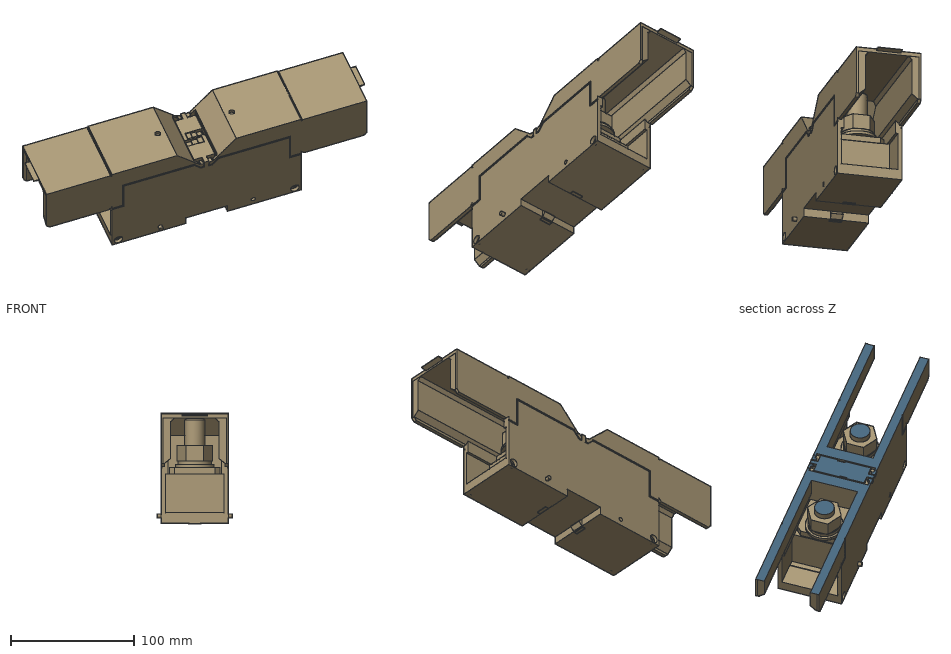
import cadquery as cq

WIDTH = 54.6
HALF_WIDTH = WIDTH / 2
WIDTH_OVER_PINS = 61.1
LENGTH_OVER_TABS = 287.04
HEIGHT_OVER_CLAWS = 90.06
HEIGHT = 89.5
HALF_BODY = 82.0
HALF_SHOULDER = 72.8
SHOULDER_Z = 45.4
DECK_Z = 70.9

COVER_END = 138.8
COVER_BOTTOM = 46.0
COVER_CHAMFER = 2.6
END_TOP_DROP = 0.9
END_TOP_Z = HEIGHT - END_TOP_DROP
SLOPE_TOP_Y = 25.6
SLOPE_END_Y = SLOPE_TOP_Y - (HEIGHT - DECK_Z)
JOINT_WIDTH = 1.0
JOINT_DEPTH = 2.0
SEAM_WIDTH = 0.9
SEAM_DEPTH = 0.6
LED_Y = 32.1
LED_DIAMETER = 4.5
LED_DEPTH = 3.0

TAB_HALF_WIDTH = 10.2
TAB_TIP_Y = LENGTH_OVER_TABS / 2
TAB_DROP = 0.2
TAB_TIP_THICKNESS = 0.4
TAB_ROOT_THICKNESS = 1.4

TUNNEL_HALF = 19.5
TUNNEL_TOP = 85.2
TUNNEL_CHAMFER = 2.8
LEG_CHAMFER_TOP = 52.7
LEG_CHAMFER_BOTTOM = 48.6
LEG_FOOT_INNER = 24.5
END_RECESS_HALF = 25.6
END_RECESS_DEPTH = 0.15
TUNNEL_BACK_Y = 20.0
ROOF_SLOPE_Y = 34.0

POCKET_HALF = 23.8
POCKET_FLOOR = 8.6
POCKET_BACK_Y = 57.0
POCKET_TOP = 40.0
TROUGH_Y = 62.0
TROUGH_DEPTH = 0.6
NECK_HALF = 21.8

STUD_Y = 45.0
BAR_HALF_WIDTH = 20.6
BAR_CORNER = 4.0
BAR_SETBACK = 1.0
BAR_TOP = 45.2
WASHER_DIAMETER = 31.0
WASHER_TOP = 47.6
COLLAR_DIAMETER = 27.0
COLLAR_TOP = 50.6
NUT_ACROSS_CORNERS = 28.8
NUT_TOP = 63.1
STUD_DIAMETER = 16.4
STUD_TOP = 84.8
STUD_CHAMFER = 1.2

OPENING_HALF_X = 25.0
OPENING_HALF_Y = 10.0
PLATE_HALF_Y = 9.0
NECK_GAP_Y = 1.9
ARM_TIP_Y = 2.4
ARM_TOP_Z = 70.0
ARM_TIP_Z = 69.0
ARM_EDGE_Y = 5.2
ARM_BOTTOM_Z = 64.8
ARM_TIP_CHAMFER = 1.0
GAP_DEPTH = 5.0
GAP_OUTER_Y = 9.6
ARM_INNER_X = 23.4
STEP_INNER_X = 0.6
STEP_OUTER_X = 6.7
STEP_EDGES = [-5.7, -1.3, 3.5, 8.0]
STEP_RISE = 1.0

RAIL_HALF = 18.0
RAIL_DEPTH = 7.0
CLAW_HALF_WIDTH = 5.0
CLAW_TIP_Y = 14.7
CLAW_TIP_Z = 3.9
CLAW_TOE_Y = 18.9
CLAW_HEEL_Y = 21.7
CLAW_BOTTOM = HEIGHT - HEIGHT_OVER_CLAWS

PIN_Y = 40.4
PIN_Z = 5.9
PIN_DIAMETER = 3.5
PIN_TIP_X = WIDTH_OVER_PINS / 2
SOCKET_DEPTH = 4.0
MOUNT_Y = 76.5
MOUNT_Z = 4.4
MOUNT_DIAMETER = 4.0
MOUNT_BORE_DIAMETER = 7.2
MOUNT_BORE_DEPTH = 3.0

ENDS = (-1, 1)
SIDES = (-1, 1)


def box(x0, x1, y0, y1, z0, z1):
    """Axis-aligned block between the given limits, in either order."""
    size = (abs(x1 - x0), abs(y1 - y0), abs(z1 - z0))
    return cq.Workplane("XY").box(*size).translate(((x0 + x1) / 2, (y0 + y1) / 2, (z0 + z1) / 2))


def prism_x(points, x0, x1):
    """Outline in Y and Z, extruded along X from x0 to x1."""
    return cq.Workplane("YZ", origin=(x0, 0, 0)).polyline(points).close().extrude(x1 - x0)


def prism_y(points, y0, y1):
    """Outline in X and Z, extruded along Y from y0 to y1."""
    return cq.Workplane("XZ", origin=(0, y0, 0)).polyline(points).close().extrude(y0 - y1)


def rod_x(diameter, x0, x1, y, z):
    """Cylinder along X."""
    return cq.Workplane("YZ", origin=(x0, y, z)).circle(diameter / 2).extrude(x1 - x0)


def rod_z(diameter, y, z0, z1):
    """Cylinder along Z on the mid-plane X = 0."""
    return cq.Workplane("XY", origin=(0, y, z0)).circle(diameter / 2).extrude(z1 - z0)


def mirrored(points):
    """Half outline running from bottom to top at +X, closed with its mirror image."""
    return points + [(-x, z) for x, z in reversed(points)]


def make_housing():
    slot = box(-HALF_WIDTH, HALF_WIDTH, -RAIL_HALF, RAIL_HALF, 0, RAIL_DEPTH)
    low = box(-HALF_WIDTH, HALF_WIDTH, -HALF_BODY, HALF_BODY, 0, LEG_CHAMFER_BOTTOM)
    deck = box(-HALF_WIDTH, HALF_WIDTH, -HALF_SHOULDER, HALF_SHOULDER, 0, DECK_Z)
    return low.union(deck).cut(slot)


def make_cover(end):
    """Cover over one terminal, with sloped inner end and bevelled lower corners."""
    outline = [
        (HALF_BODY + JOINT_WIDTH, END_TOP_Z),
        (COVER_END, END_TOP_Z),
        (COVER_END, COVER_BOTTOM + COVER_CHAMFER),
        (COVER_END - COVER_CHAMFER, COVER_BOTTOM),
        (HALF_BODY + COVER_CHAMFER, COVER_BOTTOM),
        (HALF_BODY, COVER_BOTTOM + COVER_CHAMFER),
        (HALF_SHOULDER, COVER_BOTTOM),
        (HALF_SHOULDER, DECK_Z),
        (SLOPE_END_Y, DECK_Z),
        (SLOPE_TOP_Y, HEIGHT),
        (HALF_BODY, HEIGHT),
        (HALF_BODY, HEIGHT - JOINT_DEPTH),
        (HALF_BODY + JOINT_WIDTH, HEIGHT - JOINT_DEPTH),
    ]
    tab_z = END_TOP_Z - TAB_DROP
    tab_root_y = COVER_END - END_RECESS_DEPTH
    tab = [
        (tab_root_y, tab_z),
        (TAB_TIP_Y, tab_z),
        (TAB_TIP_Y, tab_z - TAB_TIP_THICKNESS),
        (tab_root_y, tab_z - TAB_ROOT_THICKNESS),
    ]
    cover = prism_x([(end * y, z) for y, z in outline], -HALF_WIDTH, HALF_WIDTH)
    return cover.union(prism_x([(end * y, z) for y, z in tab], -TAB_HALF_WIDTH, TAB_HALF_WIDTH))


def tunnel_cut(end):
    """Space under one cover, its sloping roof, the shallow end recess and the pocket in the housing."""
    roof = [
        (TUNNEL_HALF, LEG_CHAMFER_TOP),
        (TUNNEL_HALF, TUNNEL_TOP - TUNNEL_CHAMFER),
        (TUNNEL_HALF - TUNNEL_CHAMFER, TUNNEL_TOP),
    ]
    leg = [(LEG_FOOT_INNER, COVER_BOTTOM), (LEG_FOOT_INNER, LEG_CHAMFER_BOTTOM)]
    neck_slope = (LEG_FOOT_INNER - TUNNEL_HALF) / (LEG_CHAMFER_TOP - LEG_CHAMFER_BOTTOM)
    neck_z = LEG_CHAMFER_TOP - (NECK_HALF - TUNNEL_HALF) / neck_slope
    neck = [(NECK_HALF, POCKET_TOP), (NECK_HALF, neck_z)]
    outer = prism_y(mirrored(leg + roof), end * HALF_BODY, end * COVER_END)
    inner = prism_y(mirrored(neck + roof), end * TUNNEL_BACK_Y, end * HALF_BODY)
    roof_end_y = ROOF_SLOPE_Y - (TUNNEL_TOP - DECK_Z)
    filled_corner = [
        (end * ROOF_SLOPE_Y, TUNNEL_TOP),
        (end * roof_end_y, DECK_Z),
        (end * roof_end_y, HEIGHT),
        (end * ROOF_SLOPE_Y, HEIGHT),
    ]
    inner = inner.cut(prism_x(filled_corner, -HALF_WIDTH, HALF_WIDTH))
    recess_back = end * (COVER_END - END_RECESS_DEPTH)
    recess = box(-END_RECESS_HALF, END_RECESS_HALF, recess_back, end * COVER_END, COVER_BOTTOM, TUNNEL_TOP)
    pocket = box(-POCKET_HALF, POCKET_HALF, end * POCKET_BACK_Y, end * HALF_BODY, POCKET_FLOOR, POCKET_TOP)
    trough_z = POCKET_FLOOR - TROUGH_DEPTH
    trough = box(-POCKET_HALF, POCKET_HALF, end * POCKET_BACK_Y, end * TROUGH_Y, trough_z, POCKET_FLOOR)
    return outer.union(inner).union(recess).union(pocket).union(trough)


def make_terminal(end):
    """Connection bar with washers, hexagon nut and chamfered stud."""
    bar_end = end * (POCKET_BACK_Y - BAR_SETBACK)
    bar = box(-BAR_HALF_WIDTH, BAR_HALF_WIDTH, end * TUNNEL_BACK_Y, bar_end, POCKET_TOP, BAR_TOP)
    bar = bar.edges("|Z and " + (">Y" if end > 0 else "<Y")).chamfer(BAR_CORNER)
    washer = rod_z(WASHER_DIAMETER, end * STUD_Y, BAR_TOP, WASHER_TOP)
    collar = rod_z(COLLAR_DIAMETER, end * STUD_Y, WASHER_TOP, COLLAR_TOP)
    nut_plane = cq.Workplane("XY", origin=(0, end * STUD_Y, COLLAR_TOP))
    nut = nut_plane.polygon(6, NUT_ACROSS_CORNERS).extrude(NUT_TOP - COLLAR_TOP)
    stud = rod_z(STUD_DIAMETER, end * STUD_Y, NUT_TOP, STUD_TOP).faces(">Z").chamfer(STUD_CHAMFER)
    return bar.union(washer).union(collar).union(nut).union(stud)


def seam_cut(end, side):
    """Shallow groove in a side wall, following the joint between cover and housing."""
    outer_x = side * HALF_WIDTH
    inner_x = side * (HALF_WIDTH - SEAM_DEPTH)
    low_y = end * HALF_SHOULDER
    high_y = end * (HALF_SHOULDER - SEAM_WIDTH)
    top_z = DECK_Z + SEAM_WIDTH / 2
    foot_z = SHOULDER_Z - SEAM_WIDTH / 2
    seam = box(inner_x, outer_x, end * OPENING_HALF_Y, low_y, top_z - SEAM_WIDTH, top_z)
    seam = seam.union(box(inner_x, outer_x, high_y, low_y, foot_z, top_z))
    foot = box(inner_x, outer_x, high_y, end * HALF_BODY, foot_z, foot_z + SEAM_WIDTH)
    return seam.union(foot)


def deck_cut(end):
    """Opening at the foot of one cover slope, with the gap around the deck plate."""
    opening = box(-OPENING_HALF_X, OPENING_HALF_X, 0, end * OPENING_HALF_Y, DECK_Z, HEIGHT)
    gap_z = DECK_Z - GAP_DEPTH
    gap = box(-OPENING_HALF_X, OPENING_HALF_X, end * PLATE_HALF_Y, end * GAP_OUTER_Y, gap_z, DECK_Z)
    cut = opening.union(gap)
    for side in SIDES:
        plate_x = side * NECK_HALF
        wide_gap = box(plate_x, side * OPENING_HALF_X, end * ARM_EDGE_Y, end * GAP_OUTER_Y, gap_z, DECK_Z)
        slit = box(plate_x, side * ARM_INNER_X, end * NECK_GAP_Y, end * ARM_EDGE_Y, gap_z, DECK_Z)
        cut = cut.union(wide_gap).union(slit)
        above_arm = [
            (end * NECK_GAP_Y, ARM_BOTTOM_Z),
            (end * ARM_TIP_Y, ARM_BOTTOM_Z),
            (end * ARM_TIP_Y, ARM_TIP_Z),
            (end * ARM_EDGE_Y, ARM_TOP_Z),
            (end * (SLOPE_END_Y - DECK_Z + ARM_TOP_Z), ARM_TOP_Z),
            (end * SLOPE_END_Y, DECK_Z),
            (end * NECK_GAP_Y, DECK_Z),
        ]
        cut = cut.union(prism_x(above_arm, side * NECK_HALF, side * HALF_WIDTH))
    return cut


def arm_outline_cut(end, side):
    """Shallow groove in a side wall along the lower edge of a cover arm."""
    start_y = OPENING_HALF_Y + ARM_TIP_CHAMFER
    drop = DECK_Z - ARM_BOTTOM_Z
    width = SEAM_WIDTH / 2
    points = [
        (start_y, DECK_Z),
        (start_y - drop, ARM_BOTTOM_Z),
        (ARM_TIP_Y + ARM_TIP_CHAMFER, ARM_BOTTOM_Z),
        (ARM_TIP_Y, ARM_BOTTOM_Z + ARM_TIP_CHAMFER),
        (ARM_TIP_Y, ARM_BOTTOM_Z + ARM_TIP_CHAMFER + width),
        (ARM_TIP_Y + ARM_TIP_CHAMFER, ARM_BOTTOM_Z + width),
        (start_y - drop, ARM_BOTTOM_Z + width),
        (start_y, DECK_Z + width),
    ]
    outline = [(end * y, z) for y, z in points]
    return prism_x(outline, side * (HALF_WIDTH - SEAM_DEPTH), side * HALF_WIDTH)


def step_cut(end):
    """Stepped pocket in the deck plate, deeper towards the edge of the plate."""
    steps = cq.Workplane("XY")
    inner_x = -end * STEP_INNER_X
    outer_x = -end * STEP_OUTER_X
    edges = STEP_EDGES + [PLATE_HALF_Y]
    for level in range(len(STEP_EDGES)):
        step_z = DECK_Z - STEP_RISE * (level + 1)
        step = box(inner_x, outer_x, end * edges[level], end * edges[level + 1], step_z, DECK_Z)
        steps = steps.union(step)
    return steps


def make_claw(end):
    """Spring claw that grips under one edge of the rail."""
    points = [
        (CLAW_HEEL_Y, RAIL_DEPTH),
        (RAIL_HALF, RAIL_DEPTH),
        (CLAW_TIP_Y, CLAW_TIP_Z),
        (CLAW_TOE_Y, CLAW_BOTTOM),
        (CLAW_HEEL_Y, CLAW_BOTTOM),
    ]
    return prism_x([(end * y, z) for y, z in points], -CLAW_HALF_WIDTH, CLAW_HALF_WIDTH)


def mount_cut(end):
    """Cross hole counterbored from both sides."""
    cut = rod_x(MOUNT_DIAMETER, -HALF_WIDTH, HALF_WIDTH, end * MOUNT_Y, MOUNT_Z)
    for side in SIDES:
        bore_end = side * (HALF_WIDTH - MOUNT_BORE_DEPTH)
        cut = cut.union(rod_x(MOUNT_BORE_DIAMETER, bore_end, side * HALF_WIDTH, end * MOUNT_Y, MOUNT_Z))
    return cut


part = make_housing()
for end in ENDS:
    part = part.union(make_cover(end))
for end in ENDS:
    part = part.cut(tunnel_cut(end)).union(make_terminal(end))
    part = part.cut(deck_cut(end)).cut(step_cut(end))
    for side in SIDES:
        part = part.cut(seam_cut(end, side)).cut(arm_outline_cut(end, side))
    part = part.cut(rod_z(LED_DIAMETER, end * LED_Y, HEIGHT - LED_DEPTH, HEIGHT))
    part = part.cut(mount_cut(end)).union(make_claw(end))
    part = part.union(rod_x(PIN_DIAMETER, -end * HALF_WIDTH, -end * PIN_TIP_X, end * PIN_Y, PIN_Z))
    socket_end = end * (HALF_WIDTH - SOCKET_DEPTH)
    part = part.cut(rod_x(PIN_DIAMETER, socket_end, end * HALF_WIDTH, end * PIN_Y, PIN_Z))

result = part